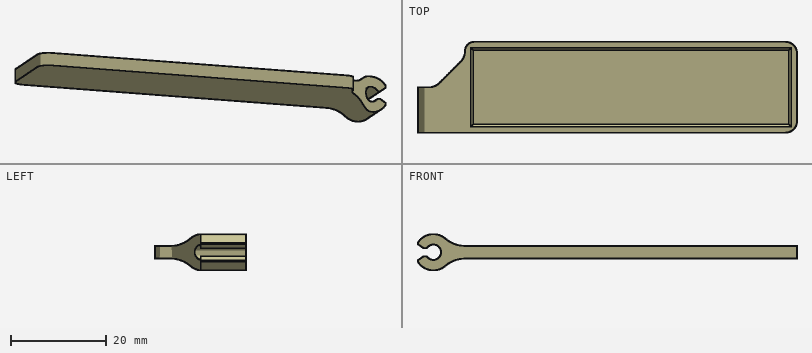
import cadquery as cq
import math

length = 79.5
width = 19.1
thickness = 2.7

clip_width = 9.55
clip_center_x = 3.25
clip_outer_radius = 3.8
clip_bore_radius = 1.6
lip_radius = 0.7
mouth_half_gap = 0.8
lead_in_half_gap = 1.7

plate_start_x = 9.85
free_corner_radius = 2.5
shoulder_corner_radius = 2.0
shoulder_blend_radius = 3.2

recess_margin = 1.3
recess_depth = 0.2
recess_wall_run = 0.5


def point_on_circle(center, radius, angle):
    return (center[0] + radius * math.cos(angle), center[1] + radius * math.sin(angle))


def mirrored(point):
    return (point[0], -point[1])


def side_profile():
    """Clip, neck and plate in the XZ plane, as a solid across the full width."""
    half_thickness = thickness / 2
    bore_center = (clip_center_x, 0)

    neck_run = plate_start_x - clip_center_x
    rise = clip_outer_radius - half_thickness
    neck_radius = (neck_run**2 - rise * (clip_outer_radius + half_thickness)) / (2 * rise)
    neck_center = (plate_start_x, half_thickness + neck_radius)
    neck_angle = math.atan2(neck_center[1], neck_run)
    neck_start = point_on_circle(bore_center, clip_outer_radius, neck_angle)
    neck_mid_angle = (neck_angle + math.pi + 1.5 * math.pi) / 2
    neck_mid = point_on_circle(neck_center, neck_radius, neck_mid_angle)
    plate_start = (plate_start_x, half_thickness)

    outer_tip = (0, math.sqrt(clip_outer_radius**2 - clip_center_x**2))
    outer_top = (clip_center_x, clip_outer_radius)
    inner_tip = (0, lead_in_half_gap)

    lip_z = mouth_half_gap + lip_radius
    lip_x = clip_center_x - math.sqrt((clip_bore_radius + lip_radius) ** 2 - lip_z**2)
    lip_center = (lip_x, lip_z)
    tip_direction = math.atan2(inner_tip[1] - lip_z, -lip_x) % (2 * math.pi)
    tip_distance = math.hypot(lip_x, inner_tip[1] - lip_z)
    lip_start_angle = tip_direction + math.acos(lip_radius / tip_distance)
    lip_end_angle = math.atan2(-lip_z, clip_center_x - lip_x) + 2 * math.pi
    lip_start = point_on_circle(lip_center, lip_radius, lip_start_angle)
    lip_mid = point_on_circle(lip_center, lip_radius, (lip_start_angle + lip_end_angle) / 2)
    lip_end = point_on_circle(lip_center, lip_radius, lip_end_angle)
    bore_back = (clip_center_x + clip_bore_radius, 0)

    return (
        cq.Workplane("XZ")
        .moveTo(length, half_thickness)
        .lineTo(*plate_start)
        .threePointArc(neck_mid, neck_start)
        .threePointArc(outer_top, outer_tip)
        .lineTo(*inner_tip)
        .lineTo(*lip_start)
        .threePointArc(lip_mid, lip_end)
        .threePointArc(bore_back, mirrored(lip_end))
        .threePointArc(mirrored(lip_mid), mirrored(lip_start))
        .lineTo(*mirrored(inner_tip))
        .lineTo(*mirrored(outer_tip))
        .threePointArc(mirrored(outer_top), mirrored(neck_start))
        .threePointArc(mirrored(neck_mid), mirrored(plate_start))
        .lineTo(length, -half_thickness)
        .close()
        .extrude(-width)
    )


def plan_outline():
    """Outline seen along Z: narrow clip, 45 degree shoulder, full-width plate."""
    blend_tangent = shoulder_blend_radius * math.tan(math.pi / 8)
    shoulder_top = width - shoulder_corner_radius - blend_tangent
    shoulder_x = plate_start_x - (shoulder_top - clip_width)

    upper_center = (plate_start_x - shoulder_blend_radius, shoulder_top + blend_tangent)
    upper_mid = point_on_circle(upper_center, shoulder_blend_radius, -math.pi / 8)
    upper_end = point_on_circle(upper_center, shoulder_blend_radius, -math.pi / 4)

    lower_center = (shoulder_x - blend_tangent, clip_width + shoulder_blend_radius)
    lower_start = point_on_circle(lower_center, shoulder_blend_radius, -math.pi / 4)
    lower_mid = point_on_circle(lower_center, shoulder_blend_radius, -3 * math.pi / 8)
    lower_end = (lower_center[0], clip_width)

    corner_center = (plate_start_x + shoulder_corner_radius, width - shoulder_corner_radius)
    corner_mid = point_on_circle(corner_center, shoulder_corner_radius, 3 * math.pi / 4)

    return (
        cq.Workplane("XY", origin=(0, 0, -clip_outer_radius))
        .lineTo(length, 0)
        .lineTo(length, width)
        .lineTo(corner_center[0], width)
        .threePointArc(corner_mid, (plate_start_x, corner_center[1]))
        .threePointArc(upper_mid, upper_end)
        .lineTo(*lower_start)
        .threePointArc(lower_mid, lower_end)
        .lineTo(0, clip_width)
        .close()
        .extrude(2 * clip_outer_radius)
        .edges("|Z and >X")
        .fillet(free_corner_radius)
    )


def recess():
    """Rectangular pocket in the top face, narrowing toward its floor."""
    recess_length = length - plate_start_x - 2 * recess_margin
    recess_width = width - 2 * recess_margin
    center = ((plate_start_x + length) / 2, width / 2, thickness / 2)
    wall_taper = math.degrees(math.atan2(recess_wall_run, recess_depth))
    return (
        cq.Workplane("XY", origin=center)
        .rect(recess_length, recess_width)
        .extrude(-recess_depth, taper=wall_taper)
    )


result = side_profile().intersect(plan_outline()).cut(recess())